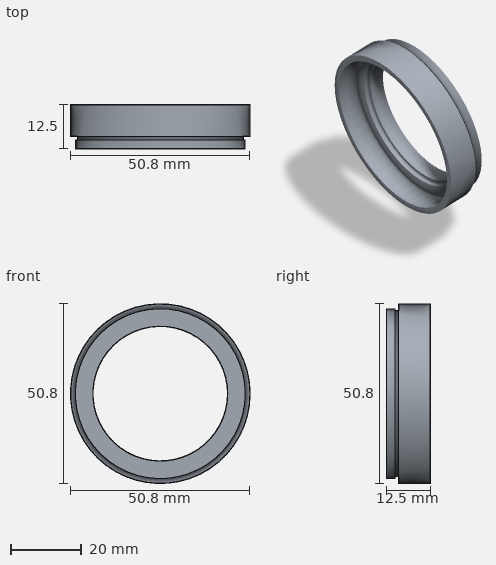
import cadquery as cq

body_diameter = 50.8
lip_diameter = 48.0
groove_diameter = 47.0
bore_diameter = 38.0
middle_bore_diameter = 40.0
rear_bore_diameter = 47.0

total_length = 12.5
lip_length = 2.5
groove_length = 1.0
front_wall_thickness = 4.5
rear_bore_start = 6.0

body_start = lip_length + groove_length
body_length = total_length - body_start
middle_bore_length = rear_bore_start - front_wall_thickness
rear_bore_length = total_length - rear_bore_start


def disc(diameter, start, length):
    """Solid cylinder along +Y, beginning at distance start from the front face."""
    plane = cq.Workplane("XZ", origin=(0, start, 0))
    return plane.circle(diameter / 2).extrude(-length)


lip = disc(lip_diameter, 0, lip_length)
groove = disc(groove_diameter, lip_length, groove_length)
body = disc(body_diameter, body_start, body_length)

bore = disc(bore_diameter, 0, total_length)
middle_bore = disc(middle_bore_diameter, front_wall_thickness, middle_bore_length)
rear_bore = disc(rear_bore_diameter, rear_bore_start, rear_bore_length)

outside = lip.union(groove).union(body)
result = outside.cut(bore).cut(middle_bore).cut(rear_bore)